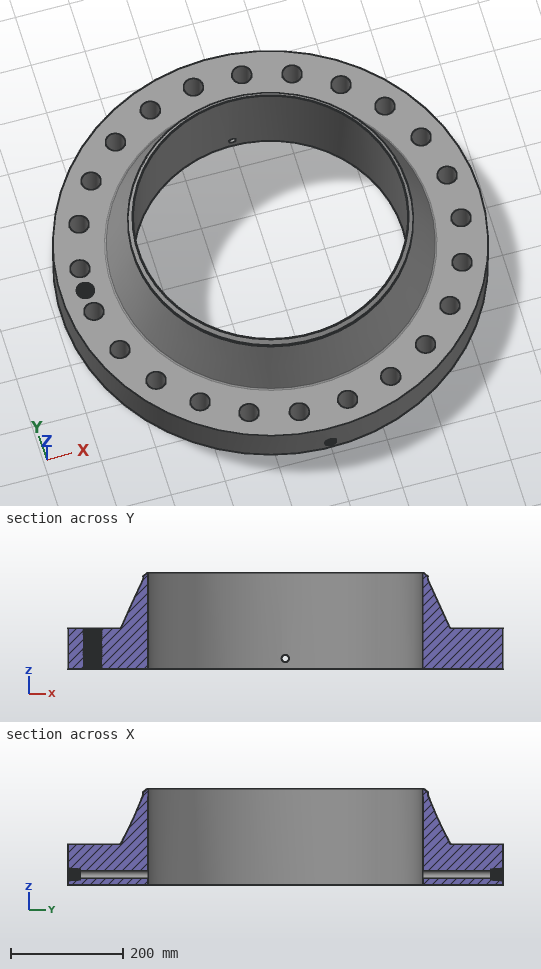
import cadquery as cq
import math

FLANGE_DIAMETER = 774.7
FLANGE_THICKNESS = 73.0
OVERALL_HEIGHT = 171.58
BORE_DIAMETER = 489.0

HUB_BASE_DIAMETER = 587.2
HUB_BASE_FILLET = 3.2
WELD_END_DIAMETER = 508.0
WELD_END_HEIGHT = 12.0
WELD_LAND_WIDTH = 1.6
BEVEL_ANGLE = 37.5

SELECTION_MARGIN = 1.0

BOLT_COUNT = 24
BOLT_CIRCLE_DIAMETER = 685.8
BOLT_HOLE_DIAMETER = 35.0

JACK_THREAD_DIAMETER = 31.75
JACK_THREAD_DEPTH = 1.9
JACK_THREAD_COUNT = 20

TAP_SIDES = (-1, 1)
TAP_HEIGHT = 19.0
TAP_DRILL_DIAMETER = 12.7
PIPE_THREAD_DIAMETER = 21.3
PIPE_THREAD_DEPTH = 1.45
PIPE_THREAD_PITCH = 1.814
PIPE_THREAD_COUNT = 12
PIPE_TAPER_ON_RADIUS = 1 / 32


def make_body():
    """Flange ring and hub turned about Z, base on Z = 0."""
    bore_radius = BORE_DIAMETER / 2
    weld_radius = WELD_END_DIAMETER / 2
    land_radius = bore_radius + WELD_LAND_WIDTH
    bevel_height = (weld_radius - land_radius) * math.tan(math.radians(BEVEL_ANGLE))
    profile = (
        cq.Workplane("XZ")
        .moveTo(bore_radius, 0)
        .lineTo(FLANGE_DIAMETER / 2, 0)
        .lineTo(FLANGE_DIAMETER / 2, FLANGE_THICKNESS)
        .lineTo(HUB_BASE_DIAMETER / 2, FLANGE_THICKNESS)
        .lineTo(weld_radius, OVERALL_HEIGHT - WELD_END_HEIGHT)
        .lineTo(weld_radius, OVERALL_HEIGHT - bevel_height)
        .lineTo(land_radius, OVERALL_HEIGHT)
        .lineTo(bore_radius, OVERALL_HEIGHT)
        .close()
    )
    body = profile.revolve(360, (0, 0, 0), (0, 1, 0))
    reach = HUB_BASE_DIAMETER / 2 + SELECTION_MARGIN
    hub_corner = cq.selectors.BoxSelector(
        (-reach, -reach, FLANGE_THICKNESS - SELECTION_MARGIN),
        (reach, reach, FLANGE_THICKNESS + SELECTION_MARGIN),
        boundingbox=True,
    )
    return body.edges(hub_corner).fillet(HUB_BASE_FILLET)


def make_thread_cutter(diameter, depth, pitch, count, taper=0):
    """Cutter along +Z from the origin, its side a row of V ridges that cut the thread as rings."""
    points = [(0, 0)]
    for turn in range(count):
        crest = diameter / 2 - taper * pitch * turn
        points.append((crest, pitch * turn))
        points.append((crest - depth, pitch * (turn + 0.5)))
    length = pitch * count
    points.append((diameter / 2 - taper * length, length))
    points.append((0, length))
    return cq.Workplane("XZ").polyline(points).close().revolve(360, (0, 0, 0), (0, 1, 0))


def cut_bolt_holes(body):
    """Through holes that straddle the X and Y axes."""
    half_pitch = 180 / BOLT_COUNT
    holes = (
        cq.Workplane("XY")
        .polarArray(BOLT_CIRCLE_DIAMETER / 2, half_pitch, 360, BOLT_COUNT)
        .circle(BOLT_HOLE_DIAMETER / 2)
        .extrude(FLANGE_THICKNESS)
    )
    return body.cut(holes)


def cut_jack_screw_hole(body):
    """Threaded hole through the flange on the -X side."""
    cutter = make_thread_cutter(
        JACK_THREAD_DIAMETER,
        JACK_THREAD_DEPTH,
        FLANGE_THICKNESS / JACK_THREAD_COUNT,
        JACK_THREAD_COUNT,
    )
    return body.cut(cutter.translate((-BOLT_CIRCLE_DIAMETER / 2, 0, 0)))


def cut_pressure_taps(body):
    """Drill on the -Y and +Y sides from rim to bore, with a pipe thread at the rim."""
    rim = FLANGE_DIAMETER / 2
    thread = make_thread_cutter(
        PIPE_THREAD_DIAMETER,
        PIPE_THREAD_DEPTH,
        PIPE_THREAD_PITCH,
        PIPE_THREAD_COUNT,
        PIPE_TAPER_ON_RADIUS,
    )
    drill = cq.Workplane("XY").circle(TAP_DRILL_DIAMETER / 2).extrude(rim)
    for side in TAP_SIDES:
        for cutter in (thread, drill):
            aimed = cutter.rotate((0, 0, 0), (1, 0, 0), side * 90)
            body = body.cut(aimed.translate((0, side * rim, TAP_HEIGHT)))
    return body


result = cut_pressure_taps(cut_jack_screw_hole(cut_bolt_holes(make_body())))